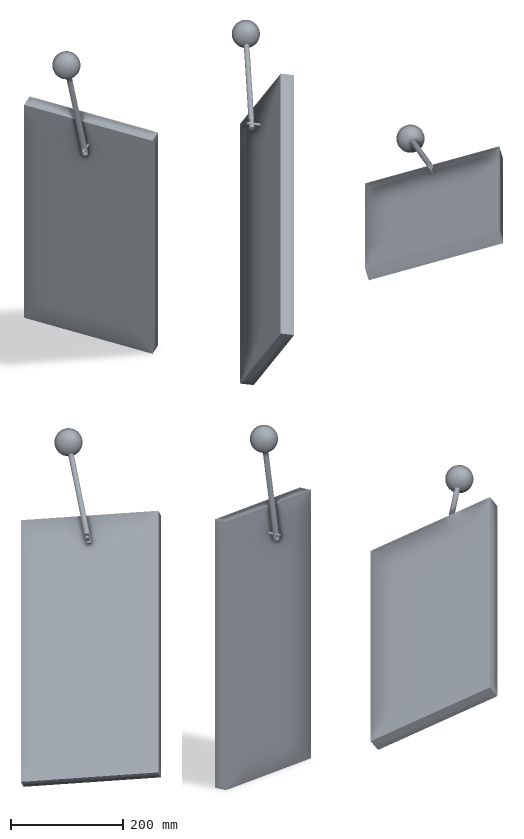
import cadquery as cq
import math

board_width = 250.0
board_thickness = 25.0
board_height = 500.0

pin_diameter = 5.0
pin_length = 25.0
pin_drop = 50.0
pin_z = board_height - pin_drop

overall_height = 661.5
ball_diameter = 50.0
rod_diameter = 10.0
rod_tail = 10.0
slot_width = 8.0
slot_length = 14.5
lever_y = -16.5
lever_tilt = 10.7
ball_rise = overall_height - ball_diameter / 2 - pin_z
pivot_to_ball = ball_rise / math.cos(math.radians(lever_tilt))


def make_board():
    return cq.Workplane("XY").box(
        board_width, board_thickness, board_height, centered=(True, False, False)
    )


def make_pin():
    return (
        cq.Workplane("XZ", origin=(0, 0, pin_z))
        .circle(pin_diameter / 2)
        .extrude(pin_length)
    )


def make_lever():
    rod = (
        cq.Workplane("XY", origin=(0, 0, -rod_tail))
        .circle(rod_diameter / 2)
        .extrude(rod_tail + pivot_to_ball)
    )
    ball = cq.Workplane("XY", origin=(0, 0, pivot_to_ball)).sphere(ball_diameter / 2)
    slot = (
        cq.Workplane("XZ")
        .rect(slot_width, slot_length)
        .extrude(rod_diameter, both=True)
    )
    return (
        rod.union(ball)
        .cut(slot)
        .rotate((0, 0, 0), (0, 1, 0), -lever_tilt)
        .translate((0, lever_y, pin_z))
    )


board = make_board()
pin = make_pin()
lever = make_lever()

result = cq.Compound.makeCompound([board.val(), pin.val(), lever.val()])